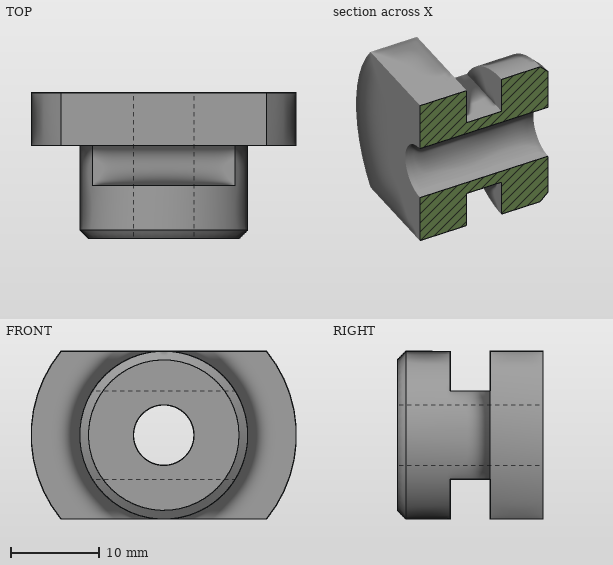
import cadquery as cq

flange_diameter = 30.0
flange_height = 19.0
flange_thickness = 6.0
boss_diameter = flange_height
total_length = 16.5
boss_chamfer = 1.0
neck_height = 10.0
slot_width = 4.5
bore_diameter = 6.8

boss_length = total_length - flange_thickness


def cylinder(diameter, start_y, length):
    """Cylinder on the Y axis, growing from start_y toward +Y."""
    return (
        cq.Workplane("XZ", origin=(0, start_y, 0))
        .circle(diameter / 2)
        .extrude(-length)
    )


def make_flange():
    """Disc cut to two parallel flats, top and bottom."""
    disc = cylinder(flange_diameter, 0, flange_thickness)
    flats = cq.Workplane("XY").box(
        flange_diameter, 2 * flange_thickness, flange_height
    )
    return disc.intersect(flats)


def make_boss():
    """Round boss with a chamfered front edge."""
    boss = cylinder(boss_diameter, -boss_length, boss_length)
    return boss.faces("<Y").edges().chamfer(boss_chamfer)


def cut_slots(body):
    """Cut a straight slot above and below the neck, next to the flange."""
    slot_depth = (boss_diameter - neck_height) / 2
    slot_center_z = (neck_height + slot_depth) / 2
    for side in (1, -1):
        slot = (
            cq.Workplane("XY")
            .box(boss_diameter, slot_width, slot_depth)
            .translate((0, -slot_width / 2, side * slot_center_z))
        )
        body = body.cut(slot)
    return body


bore = cylinder(bore_diameter, -boss_length, total_length)
result = cut_slots(make_flange().union(make_boss())).cut(bore)